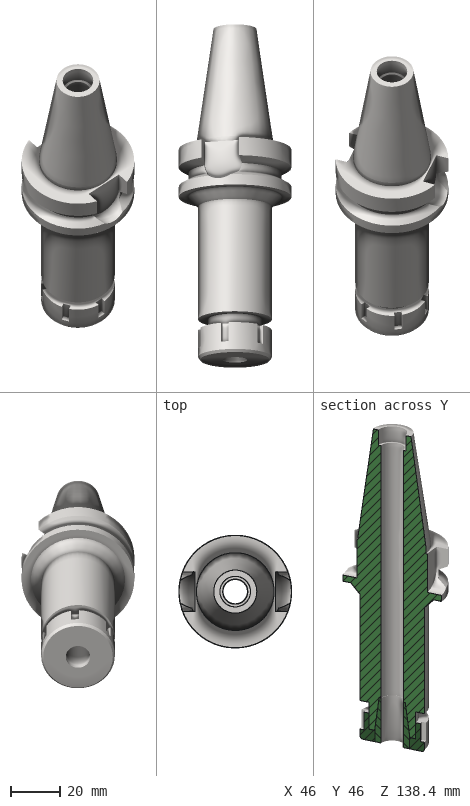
import cadquery as cq
import math


TOTAL_LENGTH = 138.4
TAPER_LENGTH = 48.5
TAPER_RATE = 7 / 24
GAUGE_DIAMETER = 31.7
GAUGE_Z = TOTAL_LENGTH - TAPER_LENGTH
GAUGE_RADIUS = GAUGE_DIAMETER / 2
TAPER_TOP_RADIUS = GAUGE_RADIUS - TAPER_LENGTH * TAPER_RATE / 2

FLANGE_DIAMETER = 46.0
FLANGE_RADIUS = FLANGE_DIAMETER / 2
GAUGE_COLLAR_HEIGHT = 2.0
FLANGE_TOP_Z = GAUGE_Z - GAUGE_COLLAR_HEIGHT
FLANGE_BOTTOM_Z = 68.1
GROOVE_RADIUS = 19.0
GROOVE_ANGLE = 30.0
GROOVE_FLOOR_TOP_Z = 78.0
GROOVE_FLOOR_BOTTOM_Z = 74.7
GROOVE_FLARE = (FLANGE_RADIUS - GROOVE_RADIUS) * math.tan(math.radians(GROOVE_ANGLE))

KEYWAY_WIDTH = 16.0
KEYWAY_FLOOR_X = 16.3
KEYWAY_BOTTOM_Z = 71.0

SHANK_DIAMETER = 30.0
SHANK_RADIUS = SHANK_DIAMETER / 2
SHANK_TOP_Z = 64.0
SHANK_BOTTOM_Z = 16.9
SHOULDER_RADIUS = SHANK_RADIUS + (FLANGE_BOTTOM_Z - SHANK_TOP_Z)
NECK_RADIUS = 11.0
NECK_BOTTOM_Z = 5.0

STUD_PILOT_RADIUS = 6.2
STUD_PILOT_DEPTH = 6.8
THROUGH_RADIUS = 5.1

COLLET_LENGTH = 19.9
COLLET_NOSE_RADIUS = 8.0
COLLET_TAPER_ANGLE = 8.0
COLLET_BORE_RADIUS = 5.0
COLLET_TAPER_LENGTH = COLLET_LENGTH - NECK_BOTTOM_Z
COLLET_TAPER_INSET = COLLET_TAPER_LENGTH * math.tan(math.radians(COLLET_TAPER_ANGLE))
COLLET_TOP_RADIUS = COLLET_NOSE_RADIUS - COLLET_TAPER_INSET

NUT_RADIUS = SHANK_RADIUS
NUT_HEIGHT = 12.3
NUT_CHAMFER_RADIAL = 0.8
NUT_CHAMFER_HEIGHT = 1.1
SPANNER_SLOT_COUNT = 6
SPANNER_SLOT_WIDTH = 3.2
SPANNER_SLOT_DEPTH = 2.0
SPANNER_SLOT_BOTTOM_Z = 4.4
SPANNER_SLOT_FLOOR_RADIUS = NUT_RADIUS - SPANNER_SLOT_DEPTH


def revolve_profile(points):
    """Turn a closed (radius, z) outline about the Z axis."""
    return cq.Workplane("XZ").polyline(points).close().revolve(360, (0, 0), (0, 1))


def cylinder(radius, bottom_z, top_z):
    return cq.Workplane("XY").workplane(offset=bottom_z).circle(radius).extrude(top_z - bottom_z)


def keyway_cutter(side):
    """Round-bottomed keyway, open at the flange top and rim, on the +X (1) or -X (-1) side."""
    arc_radius = KEYWAY_WIDTH / 2
    arc_center_z = KEYWAY_BOTTOM_Z + arc_radius
    return (
        cq.Workplane("YZ")
        .workplane(offset=side * KEYWAY_FLOOR_X)
        .moveTo(-arc_radius, FLANGE_TOP_Z)
        .lineTo(-arc_radius, arc_center_z)
        .threePointArc((0, KEYWAY_BOTTOM_Z), (arc_radius, arc_center_z))
        .lineTo(arc_radius, FLANGE_TOP_Z)
        .close()
        .extrude(side * FLANGE_RADIUS)
    )


def collet_envelope():
    """Outer shape of the collet: a straight nose below a cone that narrows upward."""
    return revolve_profile([
        (0, 0),
        (COLLET_NOSE_RADIUS, 0),
        (COLLET_NOSE_RADIUS, NECK_BOTTOM_Z),
        (COLLET_TOP_RADIUS, COLLET_LENGTH),
        (0, COLLET_LENGTH),
    ])


def make_holder():
    holder = revolve_profile([
        (0, NECK_BOTTOM_Z),
        (NECK_RADIUS, NECK_BOTTOM_Z),
        (NECK_RADIUS, SHANK_BOTTOM_Z),
        (SHANK_RADIUS, SHANK_BOTTOM_Z),
        (SHANK_RADIUS, SHANK_TOP_Z),
        (SHOULDER_RADIUS, FLANGE_BOTTOM_Z),
        (FLANGE_RADIUS, FLANGE_BOTTOM_Z),
        (FLANGE_RADIUS, GROOVE_FLOOR_BOTTOM_Z - GROOVE_FLARE),
        (GROOVE_RADIUS, GROOVE_FLOOR_BOTTOM_Z),
        (GROOVE_RADIUS, GROOVE_FLOOR_TOP_Z),
        (FLANGE_RADIUS, GROOVE_FLOOR_TOP_Z + GROOVE_FLARE),
        (FLANGE_RADIUS, FLANGE_TOP_Z),
        (GAUGE_RADIUS, FLANGE_TOP_Z),
        (GAUGE_RADIUS, GAUGE_Z),
        (TAPER_TOP_RADIUS, TOTAL_LENGTH),
        (0, TOTAL_LENGTH),
    ])
    for side in (-1, 1):
        holder = holder.cut(keyway_cutter(side))
    holder = holder.cut(cylinder(THROUGH_RADIUS, NECK_BOTTOM_Z, TOTAL_LENGTH))
    holder = holder.cut(cylinder(STUD_PILOT_RADIUS, TOTAL_LENGTH - STUD_PILOT_DEPTH, TOTAL_LENGTH))
    return holder.cut(collet_envelope())


def make_collet():
    return collet_envelope().cut(cylinder(COLLET_BORE_RADIUS, 0, COLLET_LENGTH))


def spanner_slot_cutter():
    """Flat-floored slot on the +X side of the nut, open at the rim and the top face."""
    slot = cq.Workplane("XY").box(
        NUT_RADIUS, SPANNER_SLOT_WIDTH, NUT_HEIGHT, centered=(False, True, False)
    )
    return slot.translate((SPANNER_SLOT_FLOOR_RADIUS, 0, SPANNER_SLOT_BOTTOM_Z))


def make_nut():
    nut = revolve_profile([
        (COLLET_NOSE_RADIUS, 0),
        (NUT_RADIUS - NUT_CHAMFER_RADIAL, 0),
        (NUT_RADIUS, NUT_CHAMFER_HEIGHT),
        (NUT_RADIUS, NUT_HEIGHT),
        (NECK_RADIUS, NUT_HEIGHT),
        (NECK_RADIUS, NECK_BOTTOM_Z),
        (COLLET_NOSE_RADIUS, NECK_BOTTOM_Z),
    ])
    slot = spanner_slot_cutter()
    for index in range(SPANNER_SLOT_COUNT):
        angle = index * 360 / SPANNER_SLOT_COUNT
        nut = nut.cut(slot.rotate((0, 0, 0), (0, 0, 1), angle))
    return nut


holder = make_holder()
collet = make_collet()
nut = make_nut()

result = cq.Compound.makeCompound([holder.val(), collet.val(), nut.val()])